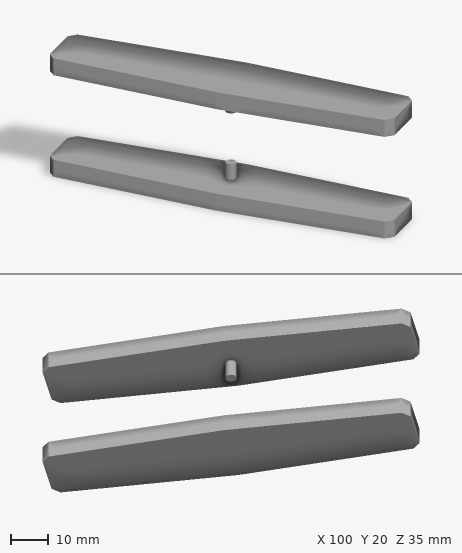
import cadquery as cq

LENGTH = 100.0
MIDDLE_WIDTH = 20.0
END_WIDTH = 16.0
CORNER_CUT = 2.0

PLATE_THICKNESS = 5.0
OVERALL_HEIGHT = 35.0

PEG_DIAMETER = 3.0
PEG_LENGTH = 5.0


def tapered_arm():
    """Plate tapering from the middle to both ends, resting on Z = 0, with a central peg on top."""
    half_length = LENGTH / 2
    shoulder_x = half_length - CORNER_CUT
    half_middle = MIDDLE_WIDTH / 2
    half_end = END_WIDTH / 2
    end_face_y = half_end - CORNER_CUT

    plate = (
        cq.Workplane("XY")
        .moveTo(-half_length, -end_face_y)
        .lineTo(-shoulder_x, -half_end)
        .lineTo(0, -half_middle)
        .lineTo(shoulder_x, -half_end)
        .lineTo(half_length, -end_face_y)
        .lineTo(half_length, end_face_y)
        .lineTo(shoulder_x, half_end)
        .lineTo(0, half_middle)
        .lineTo(-shoulder_x, half_end)
        .lineTo(-half_length, end_face_y)
        .close()
        .extrude(PLATE_THICKNESS)
    )
    return plate.faces(">Z").workplane(origin=(0, 0, 0)).circle(PEG_DIAMETER / 2).extrude(PEG_LENGTH)


lower_arm = tapered_arm()
upper_arm = tapered_arm().rotate((0, 0, 0), (1, 0, 0), 180).translate((0, 0, OVERALL_HEIGHT))

result = cq.Compound.makeCompound([lower_arm.val(), upper_arm.val()])